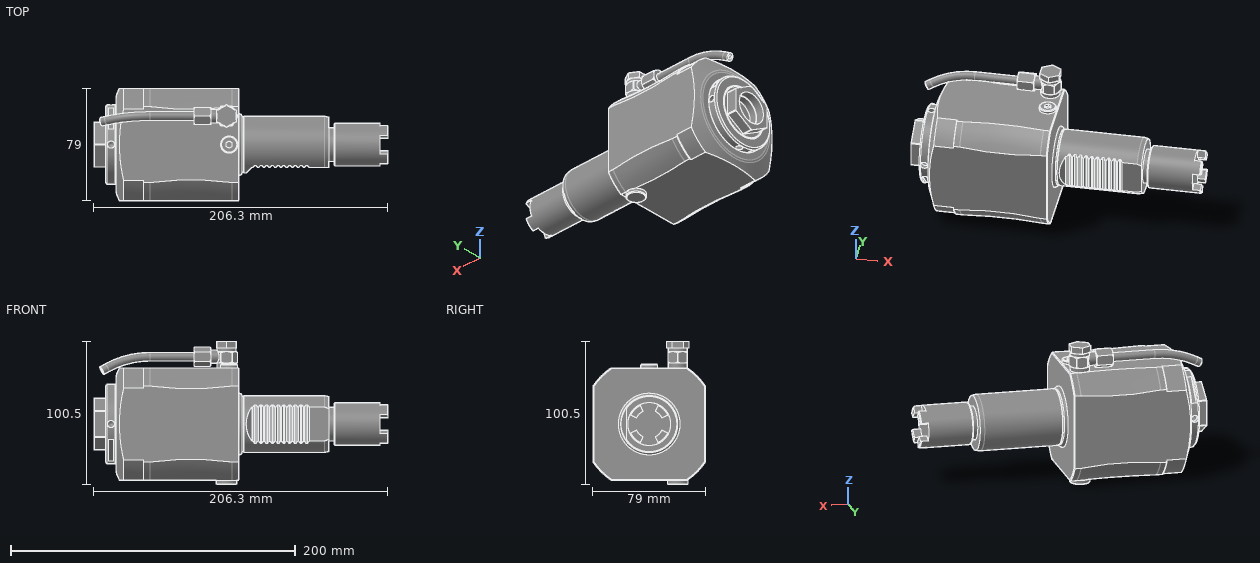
import cadquery as cq
import math


BLOCK_WIDTH = 79.0
BLOCK_FRONT_X = -86.5
BACK_CHAMFER = 0.6
FRONT_FACE_RADIUS = 33.2
CONE_START_X = -86.0
CONE_START_RADIUS = 35.0
CONE_END_X = -81.0
FRONT_CORNER_RADIUS = 46.8
STEP_X = -67.0
CORNER_RADIUS = 47.7
WAIST_START_X = -62.5
WAIST_END_X = -5.0
WAIST_RADIUS = 46.6

RING_FRONT_X = -93.9
RING_RADIUS = 28.0
RING_FRONT_CHAMFER = 1.2
RING_BACK_CHAMFER = 0.6
RING_HOLE_COUNT = 4
RING_HOLE_X = -90.0
RING_HOLE_DIAMETER = 5.0
RING_HOLE_DEPTH = 3.7
RING_HOLE_POINT = 1.5
RING_SLOT_WIDTH = 3.3
RING_SLOT_FLOOR = 26.0
RING_SLOT_ANGLES = (-45, 135)

FLANGE_RADIUS = 21.7
UNDERCUT_RADIUS = 19.6
UNDERCUT_END_X = 3.0
SHANK_RADIUS = 20.0
SHANK_END_X = 63.0
SHANK_CHAMFER_LENGTH = 3.0
SHANK_CHAMFER_HEIGHT = 0.6
FLAT_DISTANCE = 16.0
FLAT_START_X = 8.9
GROOVE_COUNT = 10
FIRST_GROOVE_X = 11.3
LAST_GROOVE_X = 47.5
GROOVE_DEPTH = 1.35
GROOVE_TOP_WIDTH = 3.5
GROOVE_FLOOR_WIDTH = 0.8

HEX_FRONT_X = -101.7
HEX_FLATS = 31.8
HEX_TURNED_RADIUS = 18.2
COLLAR_RADIUS = 19.5
COLLAR_CLEARANCE = 0.8
MOUTH_RADIUS = 12.2
MOUTH_DEPTH = 6.6
BORE_RADIUS = 11.8
BORE_DEPTH = 12.4
NECK_RADIUS = 12.0
DRIVE_START_X = 66.5
DRIVE_RADIUS = 15.0
DRIVE_CHAMFER = 0.8
DRIVE_END_X = 104.6
LUG_LENGTH = 5.5
LUG_CHAMFER = 0.6
LUG_INNER_RADIUS = 10.0
LUG_GAP_HALF_ANGLE = 25.7
LUG_COUNT = 4

FITTING_X = -8.9
FITTING_Y = 20.0
BOLT_FLATS = 13.8
BOLT_TOP_Z = 58.0
BOLT_HEAD_HEIGHT = 4.7
BOLT_COLLAR_RADIUS = 6.8
BANJO_BOTTOM_Z = 42.7
BANJO_HEIGHT = 8.0
PIPE_Z = 47.3
PIPE_DIAMETER = 6.2
NECK_DIAMETER = 9.5
NUT_BACK_X = -19.8
NUT_LENGTH = 12.0
NUT_FLATS = 12.0
NUT_TURNED_RADIUS = 7.0
BANJO_TURNED_RADIUS = 7.8
HEX_END_CHAMFER = 0.8
BEND_START_X = -62.5
BEND_RADIUS = 58.8
BEND_ANGLE = 31.0
BEND_TILT = 21.5
TIP_LENGTH = 4.1
ORIFICE_DIAMETER = 2.9

TOP_PLUG_X = -7.0
TOP_PLUG_RADIUS = 6.0
TOP_PLUG_HEIGHT = 2.5
TOP_PLUG_SOCKET_FLATS = 4.3
TOP_PLUG_SOCKET_DEPTH = 1.7
BOTTOM_PLUG_RADIUS = 7.2
BOTTOM_PLUG_HEIGHT = 3.0
PLUG_CHAMFER = 0.6

HEX_SIDES = 6
HEX_TURN = 180 / HEX_SIDES

HALF_WIDTH = BLOCK_WIDTH / 2
RING_BORE_RADIUS = COLLAR_RADIUS + COLLAR_CLEARANCE


def revolve_about_x(profile):
    """Turn an outline drawn as (x, radius) about the X axis."""
    return profile.close().revolve(360, (0, 0, 0), (1, 0, 0))


def rod_x(radius, start_x, end_x):
    return cq.Workplane("YZ").workplane(offset=start_x).circle(radius).extrude(end_x - start_x)


def disc_z(radius, x, y, start_z, end_z):
    return cq.Workplane("XY", origin=(x, y, start_z)).circle(radius).extrude(end_z - start_z)


def hex_corner_diameter(flats):
    return flats / math.cos(math.pi / HEX_SIDES)


def make_block():
    """Square bar whose corners are turned: a front cone, a step and a shallow waist."""
    square = cq.Workplane("YZ").rect(BLOCK_WIDTH, BLOCK_WIDTH).extrude(BLOCK_FRONT_X)
    turned = revolve_about_x(
        cq.Workplane("XY")
        .moveTo(BLOCK_FRONT_X, 0)
        .lineTo(BLOCK_FRONT_X, FRONT_FACE_RADIUS)
        .lineTo(CONE_START_X, CONE_START_RADIUS)
        .lineTo(CONE_END_X, FRONT_CORNER_RADIUS)
        .lineTo(STEP_X, FRONT_CORNER_RADIUS)
        .lineTo(STEP_X, CORNER_RADIUS)
        .lineTo(WAIST_START_X, CORNER_RADIUS)
        .threePointArc(
            ((WAIST_START_X + WAIST_END_X) / 2, WAIST_RADIUS), (WAIST_END_X, CORNER_RADIUS)
        )
        .lineTo(0, CORNER_RADIUS)
        .lineTo(0, 0)
    )
    return square.intersect(turned).faces(">X").chamfer(BACK_CHAMFER)


def make_ring():
    """Clamping ring with four radial drilled spanner holes and two diagonal flat-bottomed slots."""
    ring = revolve_about_x(
        cq.Workplane("XY")
        .moveTo(RING_FRONT_X, 0)
        .lineTo(RING_FRONT_X, RING_RADIUS - RING_FRONT_CHAMFER)
        .lineTo(RING_FRONT_X + RING_FRONT_CHAMFER, RING_RADIUS)
        .lineTo(BLOCK_FRONT_X - RING_BACK_CHAMFER, RING_RADIUS)
        .lineTo(BLOCK_FRONT_X, RING_RADIUS - RING_BACK_CHAMFER)
        .lineTo(BLOCK_FRONT_X, 0)
    )
    hole_radius = RING_HOLE_DIAMETER / 2
    hole_floor = RING_RADIUS - RING_HOLE_DEPTH
    point = cq.Solid.makeCone(
        0, hole_radius, RING_HOLE_POINT, cq.Vector(RING_HOLE_X, 0, hole_floor - RING_HOLE_POINT)
    )
    hole = disc_z(hole_radius, RING_HOLE_X, 0, hole_floor, RING_RADIUS).union(point)
    for hole_index in range(RING_HOLE_COUNT):
        ring = ring.cut(hole.rotate((0, 0, 0), (1, 0, 0), hole_index * 360 / RING_HOLE_COUNT))
    slot = (
        cq.Workplane("XY", origin=(RING_HOLE_X, 0, RING_SLOT_FLOOR))
        .rect(RING_SLOT_WIDTH, 2 * RING_RADIUS)
        .extrude(RING_RADIUS)
    )
    for angle in RING_SLOT_ANGLES:
        ring = ring.cut(slot.rotate((0, 0, 0), (1, 0, 0), angle))
    return ring


def make_shank():
    """Round shank with its rounded flange, undercut and the ramped, toothed flat."""
    flange_round = FLANGE_RADIUS - UNDERCUT_RADIUS
    undercut_depth = SHANK_RADIUS - UNDERCUT_RADIUS
    shank = revolve_about_x(
        cq.Workplane("XY")
        .moveTo(0, 0)
        .lineTo(0, FLANGE_RADIUS)
        .radiusArc((flange_round, UNDERCUT_RADIUS), flange_round)
        .lineTo(UNDERCUT_END_X, UNDERCUT_RADIUS)
        .lineTo(UNDERCUT_END_X + undercut_depth, SHANK_RADIUS)
        .lineTo(SHANK_END_X - SHANK_CHAMFER_LENGTH, SHANK_RADIUS)
        .lineTo(SHANK_END_X, SHANK_RADIUS - SHANK_CHAMFER_HEIGHT)
        .lineTo(SHANK_END_X, 0)
    )
    groove_pitch = (LAST_GROOVE_X - FIRST_GROOVE_X) / (GROOVE_COUNT - 1)
    ramp = SHANK_RADIUS - FLAT_DISTANCE
    cutter = (
        cq.Workplane("XY")
        .moveTo(FLAT_START_X - ramp, -SHANK_RADIUS)
        .lineTo(FLAT_START_X, -FLAT_DISTANCE)
    )
    for groove in range(GROOVE_COUNT):
        groove_x = FIRST_GROOVE_X + groove * groove_pitch
        cutter = (
            cutter.lineTo(groove_x - GROOVE_TOP_WIDTH / 2, -FLAT_DISTANCE)
            .lineTo(groove_x - GROOVE_FLOOR_WIDTH / 2, -FLAT_DISTANCE + GROOVE_DEPTH)
            .lineTo(groove_x + GROOVE_FLOOR_WIDTH / 2, -FLAT_DISTANCE + GROOVE_DEPTH)
            .lineTo(groove_x + GROOVE_TOP_WIDTH / 2, -FLAT_DISTANCE)
        )
    cutter = (
        cutter.lineTo(SHANK_END_X, -FLAT_DISTANCE)
        .lineTo(SHANK_END_X, -SHANK_RADIUS)
        .close()
        .extrude(SHANK_RADIUS, both=True)
    )
    return shank.cut(cutter)


def make_pipe():
    """Straight pipe, a bend down and towards the axis, and a short tip with its orifice."""
    angle = math.radians(BEND_ANGLE)
    bend_end_x = BEND_START_X - BEND_RADIUS * math.sin(angle)
    bend_drop = BEND_RADIUS * (1 - math.cos(angle))
    tip_x = bend_end_x - TIP_LENGTH * math.cos(angle)
    tip_drop = bend_drop + TIP_LENGTH * math.sin(angle)
    middle_x = BEND_START_X - BEND_RADIUS * math.sin(angle / 2)
    middle_drop = BEND_RADIUS * (1 - math.cos(angle / 2))
    path = (
        cq.Workplane("XZ")
        .moveTo(FITTING_X, 0)
        .lineTo(BEND_START_X, 0)
        .threePointArc((middle_x, -middle_drop), (bend_end_x, -bend_drop))
        .lineTo(tip_x, -tip_drop)
    )
    pipe = (
        cq.Workplane("YZ", origin=(FITTING_X, 0, 0)).circle(PIPE_DIAMETER / 2).sweep(path)
    )
    inward = cq.Vector(math.cos(angle), 0, math.sin(angle))
    orifice = cq.Solid.makeCylinder(
        ORIFICE_DIAMETER / 2, TIP_LENGTH, cq.Vector(tip_x, 0, -tip_drop), inward
    )
    pipe = pipe.cut(cq.Workplane(orifice))
    return pipe.rotate((0, 0, 0), (1, 0, 0), -BEND_TILT).translate((0, FITTING_Y, PIPE_Z))


def make_fitting():
    """Banjo bolt standing on the block, with the banjo's neck, nut and pipe."""
    head_bottom_z = BOLT_TOP_Z - BOLT_HEAD_HEIGHT
    collar = disc_z(BOLT_COLLAR_RADIUS, FITTING_X, FITTING_Y, HALF_WIDTH, head_bottom_z)
    head = (
        cq.Workplane("XY", origin=(FITTING_X, FITTING_Y, head_bottom_z))
        .transformed(rotate=(0, 0, HEX_TURN))
        .polygon(HEX_SIDES, hex_corner_diameter(BOLT_FLATS))
        .extrude(BOLT_HEAD_HEIGHT)
    )
    banjo = (
        cq.Workplane("XY", origin=(FITTING_X, FITTING_Y, BANJO_BOTTOM_Z))
        .polygon(HEX_SIDES, hex_corner_diameter(BOLT_FLATS))
        .extrude(BANJO_HEIGHT)
    )
    banjo_top_z = BANJO_BOTTOM_Z + BANJO_HEIGHT
    banjo_blank = disc_z(BANJO_TURNED_RADIUS, FITTING_X, FITTING_Y, BANJO_BOTTOM_Z, banjo_top_z)
    banjo = banjo.intersect(banjo_blank.edges("%CIRCLE").chamfer(HEX_END_CHAMFER))
    neck = rod_x(NECK_DIAMETER / 2, NUT_BACK_X, FITTING_X).translate((0, FITTING_Y, PIPE_Z))
    nut = (
        cq.Workplane("YZ", origin=(NUT_BACK_X, FITTING_Y, PIPE_Z))
        .transformed(rotate=(0, 0, HEX_TURN))
        .polygon(HEX_SIDES, hex_corner_diameter(NUT_FLATS))
        .extrude(-NUT_LENGTH)
    )
    nut_blank = rod_x(NUT_TURNED_RADIUS, NUT_BACK_X - NUT_LENGTH, NUT_BACK_X)
    nut_blank = nut_blank.edges("%CIRCLE").chamfer(HEX_END_CHAMFER)
    nut = nut.intersect(nut_blank.translate((0, FITTING_Y, PIPE_Z)))
    return collar.union(head).union(banjo).union(neck).union(nut).union(make_pipe())


def make_plugs():
    top = disc_z(TOP_PLUG_RADIUS, TOP_PLUG_X, 0, HALF_WIDTH, HALF_WIDTH + TOP_PLUG_HEIGHT)
    top = (
        top.faces(">Z").chamfer(PLUG_CHAMFER)
        .faces(">Z").workplane()
        .transformed(rotate=(0, 0, HEX_TURN))
        .polygon(HEX_SIDES, hex_corner_diameter(TOP_PLUG_SOCKET_FLATS))
        .cutBlind(-TOP_PLUG_SOCKET_DEPTH)
    )
    bottom = disc_z(
        BOTTOM_PLUG_RADIUS, FITTING_X, FITTING_Y, -HALF_WIDTH - BOTTOM_PLUG_HEIGHT, -HALF_WIDTH
    )
    return top.union(bottom.faces("<Z").chamfer(PLUG_CHAMFER))


def make_housing():
    """Stationary body, bored through for the spindle and its collar."""
    housing = make_block().union(make_ring()).union(make_shank())
    housing = housing.union(make_fitting()).union(make_plugs())
    housing = housing.cut(rod_x(RING_BORE_RADIUS, RING_FRONT_X, BLOCK_FRONT_X))
    return housing.cut(rod_x(NECK_RADIUS, BLOCK_FRONT_X, SHANK_END_X))


def make_lug_gap():
    """Sector between two drive lugs."""
    reach = 2 * DRIVE_RADIUS
    half_width = reach * math.tan(math.radians(LUG_GAP_HALF_ANGLE))
    return (
        cq.Workplane("YZ", origin=(DRIVE_END_X - LUG_LENGTH, 0, 0))
        .polyline([(0, 0), (reach, -half_width), (reach, half_width)])
        .close()
        .extrude(LUG_LENGTH)
    )


def make_spindle():
    """Rotating body: bored hexagon, collar, neck through the housing and drive dog."""
    hexagon = (
        cq.Workplane("YZ", origin=(HEX_FRONT_X, 0, 0))
        .transformed(rotate=(0, 0, HEX_TURN))
        .polygon(HEX_SIDES, hex_corner_diameter(HEX_FLATS))
        .extrude(RING_FRONT_X - HEX_FRONT_X)
        .intersect(rod_x(HEX_TURNED_RADIUS, HEX_FRONT_X, RING_FRONT_X))
    )
    collar = rod_x(COLLAR_RADIUS, RING_FRONT_X, BLOCK_FRONT_X)
    neck = rod_x(NECK_RADIUS, BLOCK_FRONT_X, DRIVE_START_X)
    drive = (
        rod_x(DRIVE_RADIUS, DRIVE_START_X, DRIVE_END_X)
        .faces("<X").chamfer(DRIVE_CHAMFER)
        .faces(">X").chamfer(LUG_CHAMFER)
        .cut(rod_x(LUG_INNER_RADIUS, DRIVE_END_X - LUG_LENGTH, DRIVE_END_X))
    )
    gap = make_lug_gap()
    for lug in range(LUG_COUNT):
        drive = drive.cut(gap.rotate((0, 0, 0), (1, 0, 0), lug * 360 / LUG_COUNT))
    spindle = hexagon.union(collar).union(neck).union(drive)
    spindle = spindle.cut(rod_x(MOUTH_RADIUS, HEX_FRONT_X, HEX_FRONT_X + MOUTH_DEPTH))
    return spindle.cut(rod_x(BORE_RADIUS, HEX_FRONT_X, HEX_FRONT_X + BORE_DEPTH))


housing = make_housing()
spindle = make_spindle()
result = cq.Compound.makeCompound([housing.solids().val(), spindle.solids().val()])